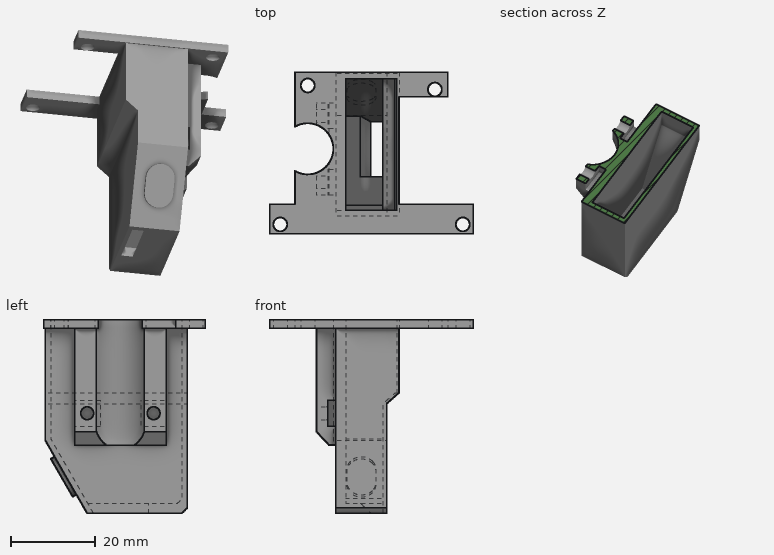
import cadquery as cq
import math


PLATE_LENGTH = 48.0
PLATE_WIDTH = 38.1
PLATE_THICKNESS = 2.05
PLATE_LEFT = 5.95
FRONT_BAR_WIDTH = 7.0
BACK_ARM_RIGHT = 42.0
BACK_ARM_FRONT = 32.25
SCREW_DIAMETER = 3.2
SCREW_CENTRES = [(2.5, 2.2), (45.5, 2.2), (8.97, 34.95), (38.9, 34.0)]

TOTAL_HEIGHT = 45.65
HOUSING_LEFT = 15.55
HOUSING_RIGHT = 27.6
HOUSING_FRONT = 4.2
HOUSING_BACK = 37.75
BACK_SLOPE_TOP = -28.4
BACK_SLOPE_FOOT_Y = 27.9
FRONT_CHAMFER = 1.3

BULGE_RIGHT = 30.5
BULGE_SLOPE_TOP = -17.25
BULGE_SLOPE_BOTTOM = -19.8

LEFT_WALL = 2.35
RIGHT_WALL = 1.0
END_WALL = 1.3
FLOOR_THICKNESS = 2.35
CAVITY_FRONT_CHAMFER = 1.15
UPPER_CAVITY_RIGHT = 29.95
FLOOR_WINDOW_LEFT = 21.4
FLOOR_WINDOW_TAPER = 2.45
FLOOR_WINDOW_FRONT = 13.45

BLOCK_LEFT = 11.0
BLOCK_WIDTH = 21.6
BLOCK_BOTTOM = -29.55
BLOCK_CHAMFER_X = 2.98
BLOCK_CHAMFER_Z = 3.15
BORE_DIAMETER = 12.0
BORE_X = 8.97
BORE_Y = 20.0
BOLT_DIAMETER = 3.0
BOLT_SPACING = 15.65
BOLT_Z = -22.08
NUT_SLOT_LEFT = 13.7
NUT_SLOT_HEIGHT = 6.1
NUT_SLOT_DEPTH = 6.0

PAD_LENGTH = 10.35
PAD_WIDTH = 6.8
PAD_HEIGHT = 1.0
PAD_DISTANCE = 9.65

BOTTOM = -TOTAL_HEIGHT
CAVITY_LEFT = HOUSING_LEFT + LEFT_WALL
CAVITY_RIGHT = HOUSING_RIGHT - RIGHT_WALL
CAVITY_FRONT = HOUSING_FRONT + END_WALL
CAVITY_BACK = HOUSING_BACK - END_WALL
CAVITY_FLOOR = BOTTOM + FLOOR_THICKNESS
SLOPE_RUN = HOUSING_BACK - BACK_SLOPE_FOOT_Y
SLOPE_DROP = BACK_SLOPE_TOP - BOTTOM
SLOPE_LENGTH = math.hypot(SLOPE_RUN, SLOPE_DROP)
SLOPE_WALL = END_WALL * SLOPE_LENGTH / SLOPE_DROP


def box(x0, x1, y0, y1, z0, z1):
    return cq.Workplane("XY").box(x1 - x0, y1 - y0, z1 - z0, centered=False).translate((x0, y0, z0))


def extrude_along_x(points, x0, x1):
    """Extrude a (y, z) outline from x0 to x1."""
    return cq.Workplane("YZ", origin=(x0, 0, 0)).polyline(points).close().extrude(x1 - x0)


def extrude_along_y(points, y0, y1):
    """Extrude an (x, z) outline from y0 to y1."""
    return cq.Workplane("XZ", origin=(0, y0, 0)).polyline(points).close().extrude(y0 - y1)


def inner_slope_y(z):
    """Y of the inner face of the sloped back wall at height z."""
    return BACK_SLOPE_FOOT_Y - SLOPE_WALL + SLOPE_RUN * (z - BOTTOM) / SLOPE_DROP


def inner_slope_z(y):
    """Height of the inner face of the sloped back wall at y."""
    return BOTTOM + SLOPE_DROP * (y - BACK_SLOPE_FOOT_Y + SLOPE_WALL) / SLOPE_RUN


def make_plate():
    outline = [
        (0, 0),
        (PLATE_LENGTH, 0),
        (PLATE_LENGTH, FRONT_BAR_WIDTH),
        (BULGE_RIGHT, FRONT_BAR_WIDTH),
        (BULGE_RIGHT, BACK_ARM_FRONT),
        (BACK_ARM_RIGHT, BACK_ARM_FRONT),
        (BACK_ARM_RIGHT, PLATE_WIDTH),
        (PLATE_LEFT, PLATE_WIDTH),
        (PLATE_LEFT, FRONT_BAR_WIDTH),
        (0, FRONT_BAR_WIDTH),
    ]
    plate = cq.Workplane("XY").polyline(outline).close().extrude(-PLATE_THICKNESS)
    holes = cq.Workplane("XY").pushPoints(SCREW_CENTRES).circle(SCREW_DIAMETER / 2).extrude(-PLATE_THICKNESS)
    return plate.cut(holes)


def bulge_profile(left, right, foot, top):
    """Outline in (x, z) of the upper widening, with its sloped underside."""
    return [
        (left, top),
        (right, top),
        (right, BULGE_SLOPE_TOP),
        (foot, BULGE_SLOPE_BOTTOM),
        (left, BULGE_SLOPE_BOTTOM),
    ]


def make_housing():
    outline = [
        (HOUSING_FRONT, -PLATE_THICKNESS),
        (HOUSING_BACK, -PLATE_THICKNESS),
        (HOUSING_BACK, BACK_SLOPE_TOP),
        (BACK_SLOPE_FOOT_Y, BOTTOM),
        (HOUSING_FRONT + FRONT_CHAMFER, BOTTOM),
        (HOUSING_FRONT, BOTTOM + FRONT_CHAMFER),
    ]
    body = extrude_along_x(outline, HOUSING_LEFT, HOUSING_RIGHT)
    bulge = bulge_profile(HOUSING_LEFT, BULGE_RIGHT, HOUSING_RIGHT, -PLATE_THICKNESS)
    return body.union(extrude_along_y(bulge, HOUSING_FRONT, HOUSING_BACK))


def make_cavity():
    outline = [
        (CAVITY_FRONT, 0),
        (CAVITY_BACK, 0),
        (CAVITY_BACK, inner_slope_z(CAVITY_BACK)),
        (inner_slope_y(CAVITY_FLOOR), CAVITY_FLOOR),
        (CAVITY_FRONT + CAVITY_FRONT_CHAMFER, CAVITY_FLOOR),
        (CAVITY_FRONT, CAVITY_FLOOR + CAVITY_FRONT_CHAMFER),
    ]
    main = extrude_along_x(outline, CAVITY_LEFT, CAVITY_RIGHT)
    side = bulge_profile(CAVITY_LEFT, BULGE_RIGHT - RIGHT_WALL, CAVITY_RIGHT, 0)
    upper = box(CAVITY_LEFT, UPPER_CAVITY_RIGHT, CAVITY_FRONT, CAVITY_BACK, BULGE_SLOPE_TOP, 0)
    return main.union(extrude_along_y(side, CAVITY_FRONT, CAVITY_BACK)).union(upper)


def make_floor_window():
    """Opening through the floor with a tapered left side, ending at the sloped back wall."""
    taper = [
        (FLOOR_WINDOW_LEFT, CAVITY_FLOOR),
        (CAVITY_RIGHT, CAVITY_FLOOR),
        (CAVITY_RIGHT, BOTTOM),
        (FLOOR_WINDOW_LEFT + FLOOR_WINDOW_TAPER, BOTTOM),
    ]
    length_limit = [
        (FLOOR_WINDOW_FRONT, BOTTOM),
        (inner_slope_y(BOTTOM), BOTTOM),
        (inner_slope_y(CAVITY_FLOOR), CAVITY_FLOOR),
        (FLOOR_WINDOW_FRONT, CAVITY_FLOOR),
    ]
    window = extrude_along_y(taper, FLOOR_WINDOW_FRONT, HOUSING_BACK)
    return window.intersect(extrude_along_x(length_limit, CAVITY_LEFT, CAVITY_RIGHT))


def make_clamp_block():
    front = BORE_Y - BLOCK_WIDTH / 2
    back = BORE_Y + BLOCK_WIDTH / 2
    outline = [
        (BLOCK_LEFT, -PLATE_THICKNESS),
        (HOUSING_LEFT, -PLATE_THICKNESS),
        (HOUSING_LEFT, BLOCK_BOTTOM),
        (BLOCK_LEFT + BLOCK_CHAMFER_X, BLOCK_BOTTOM),
        (BLOCK_LEFT, BLOCK_BOTTOM + BLOCK_CHAMFER_Z),
    ]
    block = extrude_along_y(outline, front, back)
    slot_bottom = BOLT_Z - NUT_SLOT_HEIGHT / 2
    slot_top = BOLT_Z + NUT_SLOT_HEIGHT / 2
    for slot_front in (front, back - NUT_SLOT_DEPTH):
        slot_back = slot_front + NUT_SLOT_DEPTH
        block = block.cut(box(NUT_SLOT_LEFT, HOUSING_LEFT, slot_front, slot_back, slot_bottom, slot_top))
    bolts = (
        cq.Workplane("YZ", origin=(BLOCK_LEFT, 0, 0))
        .pushPoints([(BORE_Y + side * BOLT_SPACING / 2, BOLT_Z) for side in (-1, 1)])
        .circle(BOLT_DIAMETER / 2)
        .extrude(HOUSING_LEFT - BLOCK_LEFT)
    )
    return block.cut(bolts)


def make_bore():
    return cq.Workplane("XY").center(BORE_X, BORE_Y).circle(BORE_DIAMETER / 2).extrude(BLOCK_BOTTOM)


def make_pad():
    """Obround pad standing square to the sloped back face."""
    fraction = PAD_DISTANCE / SLOPE_LENGTH
    centre = (
        (HOUSING_LEFT + HOUSING_RIGHT) / 2,
        HOUSING_BACK - fraction * SLOPE_RUN,
        BACK_SLOPE_TOP - fraction * SLOPE_DROP,
    )
    face = cq.Plane(origin=centre, xDir=(1, 0, 0), normal=(0, SLOPE_DROP, -SLOPE_RUN))
    return cq.Workplane(face).slot2D(PAD_LENGTH, PAD_WIDTH, 90).extrude(PAD_HEIGHT)


solid_parts = make_plate().union(make_housing()).union(make_clamp_block()).union(make_pad())
result = solid_parts.cut(make_cavity()).cut(make_floor_window()).cut(make_bore())